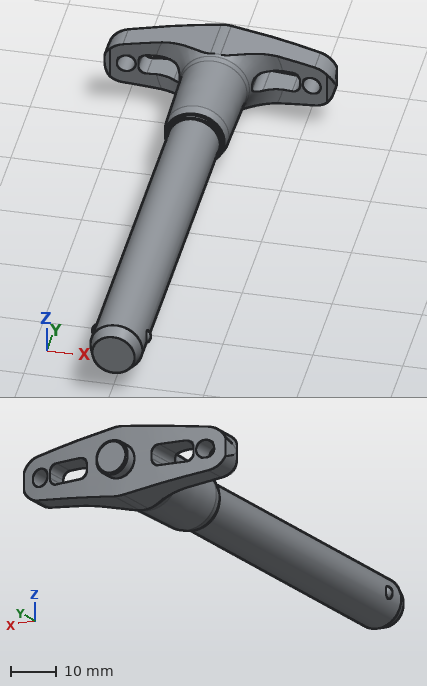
import cadquery as cq
import math

total_length = 120.6

shaft_radius = 5.8
tip_radius = 4.7
tip_chamfer_length = 3.0
ball_radius = 1.6
ball_reach = 6.5
ball_y = 8.5

lip_start_y = 83.6
lip_radius = 6.2
collar_start_y = 84.6
collar_nose_radius = 6.6
collar_nose_length = 2.3
collar_body_radius = 7.1
collar_root_radius = 7.5
collar_root_y = 103.9
flare_start_y = 105.3
flare_start_radius = 7.7
flare_end_x = 14.2

button_radius = 3.92
button_chamfer = 0.4

handle_top_y = 117.4
handle_length = 51.4
hub_radius = 8.0
end_radius = 5.1
end_x = handle_length / 2 - end_radius
top_arch_radius = 120.6
underside_crown_y = 111.0
underside_arch_radius = 168.9
underside_corner_radius = 1.6
end_wall_taper = 0.5

end_hole_radius = 2.0
slot_inner_x = 8.1
slot_outer_x = 18.0
slot_half_width = 2.4
slot_corner_radius = 1.8


def arch_y(crown_y, radius, x):
    """Height at x of an arch whose crown lies on the pin axis."""
    return crown_y - radius + math.sqrt(radius**2 - x**2)


def along_y(start_y, end_y):
    """XZ workplane at start_y and the extrusion distance that reaches end_y."""
    return cq.Workplane("XZ", origin=(0, start_y, 0)), start_y - end_y


def make_plan():
    """Handle plan: hub arcs and round ends joined by tangent lines, as a tall prism."""
    lean = math.asin((hub_radius - end_radius) / end_x)
    sin_lean, cos_lean = math.sin(lean), math.cos(lean)
    hub_x, hub_z = hub_radius * sin_lean, hub_radius * cos_lean
    tangent_x, tangent_z = end_x + end_radius * sin_lean, end_radius * cos_lean
    plane, distance = along_y(lip_start_y, total_length)
    return (
        plane.moveTo(-hub_x, hub_z)
        .threePointArc((0, hub_radius), (hub_x, hub_z))
        .lineTo(tangent_x, tangent_z)
        .threePointArc((handle_length / 2, 0), (tangent_x, -tangent_z))
        .lineTo(hub_x, -hub_z)
        .threePointArc((0, -hub_radius), (-hub_x, -hub_z))
        .lineTo(-tangent_x, -tangent_z)
        .threePointArc((-handle_length / 2, 0), (-tangent_x, tangent_z))
        .close()
        .extrude(distance)
    )


def make_envelope():
    """Prism holding the arched top, the tapered end walls and their rounded lower corners."""
    half_length = handle_length / 2
    top_end_x = half_length - end_wall_taper
    top_end_y = arch_y(handle_top_y, top_arch_radius, top_end_x)
    corner_x = half_length - underside_corner_radius
    corner_y = arch_y(underside_crown_y, underside_arch_radius, corner_x)
    corner_center_y = corner_y + underside_corner_radius
    middle = underside_corner_radius * math.sqrt(0.5)
    return (
        cq.Workplane("XY")
        .moveTo(-top_end_x, top_end_y)
        .threePointArc((0, handle_top_y), (top_end_x, top_end_y))
        .lineTo(half_length, corner_center_y)
        .threePointArc((corner_x + middle, corner_center_y - middle), (corner_x, corner_y))
        .lineTo(0, lip_start_y)
        .lineTo(-corner_x, corner_y)
        .threePointArc((-corner_x - middle, corner_center_y - middle), (-half_length, corner_center_y))
        .close()
        .extrude(handle_length, both=True)
    )


def make_handle_blank():
    """Revolved body whose underside is the shallow arch and the rounded flare."""
    flare_end_y = arch_y(underside_crown_y, underside_arch_radius, flare_end_x)
    flare_width = flare_end_x - flare_start_radius
    flare_height = flare_end_y - flare_start_y
    flare_radius = (flare_width**2 + flare_height**2) / (2 * flare_height)
    half_sweep = math.atan2(flare_height, flare_width)
    flare_middle = (
        flare_end_x - flare_radius * math.sin(half_sweep),
        flare_end_y - flare_radius * (1 - math.cos(half_sweep)),
    )
    arch_middle_x = (flare_end_x + handle_length / 2) / 2
    return (
        cq.Workplane("XY")
        .moveTo(0, flare_start_y)
        .lineTo(flare_start_radius, flare_start_y)
        .threePointArc(flare_middle, (flare_end_x, flare_end_y))
        .threePointArc(
            (arch_middle_x, arch_y(underside_crown_y, underside_arch_radius, arch_middle_x)),
            (handle_length, arch_y(underside_crown_y, underside_arch_radius, handle_length)),
        )
        .lineTo(handle_length, total_length)
        .lineTo(0, total_length)
        .close()
        .revolve(360, (0, 0, 0), (0, 1, 0))
    )


def make_openings():
    """Round hole and rounded slot through each arm of the handle."""
    plane, distance = along_y(flare_start_y, total_length)
    slot_x = (slot_inner_x + slot_outer_x) / 2
    slots = (
        plane.pushPoints([(-slot_x, 0), (slot_x, 0)])
        .rect(slot_outer_x - slot_inner_x, 2 * slot_half_width)
        .extrude(distance)
        .edges("|Y")
        .fillet(slot_corner_radius)
    )
    holes = plane.pushPoints([(-end_x, 0), (end_x, 0)]).circle(end_hole_radius).extrude(distance)
    return slots.union(holes)


def make_pin():
    """Revolved shaft and collar, ending inside the handle."""
    profile = [
        (0, 0),
        (tip_radius, 0),
        (shaft_radius, tip_chamfer_length),
        (shaft_radius, lip_start_y),
        (lip_radius, lip_start_y),
        (lip_radius, collar_start_y),
        (collar_nose_radius, collar_start_y),
        (collar_body_radius, collar_start_y + collar_nose_length),
        (collar_root_radius, collar_root_y),
        (flare_start_radius, flare_start_y),
        (0, flare_start_y),
    ]
    return cq.Workplane("XY").polyline(profile).close().revolve(360, (0, 0, 0), (0, 1, 0))


def make_button():
    plane, distance = along_y(underside_crown_y, total_length)
    return plane.circle(button_radius).extrude(distance).faces(">Y").chamfer(button_chamfer)


def make_balls():
    ball_x = ball_reach - ball_radius
    return cq.Workplane("XY").pushPoints([(-ball_x, ball_y), (ball_x, ball_y)]).sphere(ball_radius)


handle = make_handle_blank().intersect(make_envelope()).intersect(make_plan()).cut(make_openings())
result = handle.union(make_pin()).union(make_button()).union(make_balls())